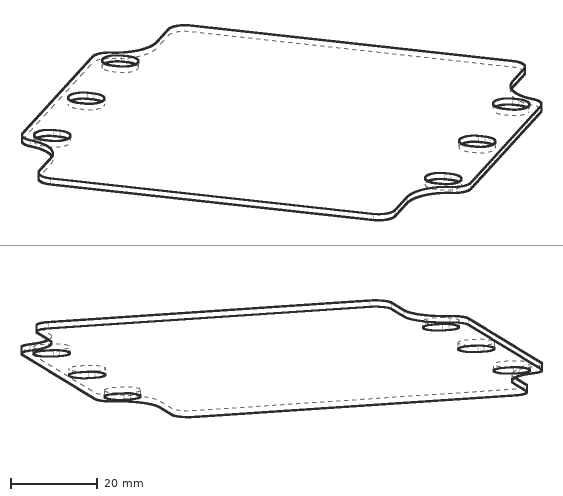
import cadquery as cq
import math

length_x = 109.0
length_y = 107.0
thickness = 1.5
half_x = length_x / 2
half_y = length_y / 2

body_half_x = 43.3
corner_radius = 4.0
notch_radius = 10.0
notch_center_y = 40.5

slot_length = 8.5
slot_width = 7.0
slot_x = 47.5
slot_pitch = 26.0

notch_center_x = body_half_x + notch_radius
tab_corner_x = half_x - corner_radius
center_distance = notch_radius + corner_radius
center_dx = notch_center_x - tab_corner_x
center_dy = math.sqrt(center_distance**2 - center_dx**2)
tab_corner_y = notch_center_y - center_dy


def quarter_plate():
    """Quadrant of the plate with X and Y positive."""
    body_corner_x = body_half_x - corner_radius
    body_corner_y = half_y - corner_radius
    diagonal = corner_radius * math.sqrt(0.5)

    tangent_angle = math.atan2(-center_dy, -center_dx)
    notch_mid_angle = (tangent_angle - math.pi) / 2
    notch_mid = (
        notch_center_x + notch_radius * math.cos(notch_mid_angle),
        notch_center_y + notch_radius * math.sin(notch_mid_angle),
    )
    tangent_point = (
        notch_center_x + notch_radius * math.cos(tangent_angle),
        notch_center_y + notch_radius * math.sin(tangent_angle),
    )

    tab_mid_angle = (tangent_angle + math.pi) / 2
    tab_mid = (
        tab_corner_x + corner_radius * math.cos(tab_mid_angle),
        tab_corner_y + corner_radius * math.sin(tab_mid_angle),
    )

    return (
        cq.Workplane("XY")
        .lineTo(half_x, 0)
        .lineTo(half_x, tab_corner_y)
        .threePointArc(tab_mid, tangent_point)
        .threePointArc(notch_mid, (body_half_x, notch_center_y))
        .lineTo(body_half_x, body_corner_y)
        .threePointArc(
            (body_corner_x + diagonal, body_corner_y + diagonal),
            (body_corner_x, half_y),
        )
        .lineTo(0, half_y)
        .close()
        .extrude(thickness)
    )


def slot_cutters():
    """Slots in two columns of three, elongated along X."""
    centers = [(x, y) for x in (-slot_x, slot_x) for y in (-slot_pitch, 0, slot_pitch)]
    return (
        cq.Workplane("XY")
        .pushPoints(centers)
        .slot2D(slot_length, slot_width)
        .extrude(thickness)
    )


quarter = quarter_plate()
half = quarter.union(quarter.mirror("YZ"))
plate = half.union(half.mirror("XZ")).clean()
result = plate.cut(slot_cutters())